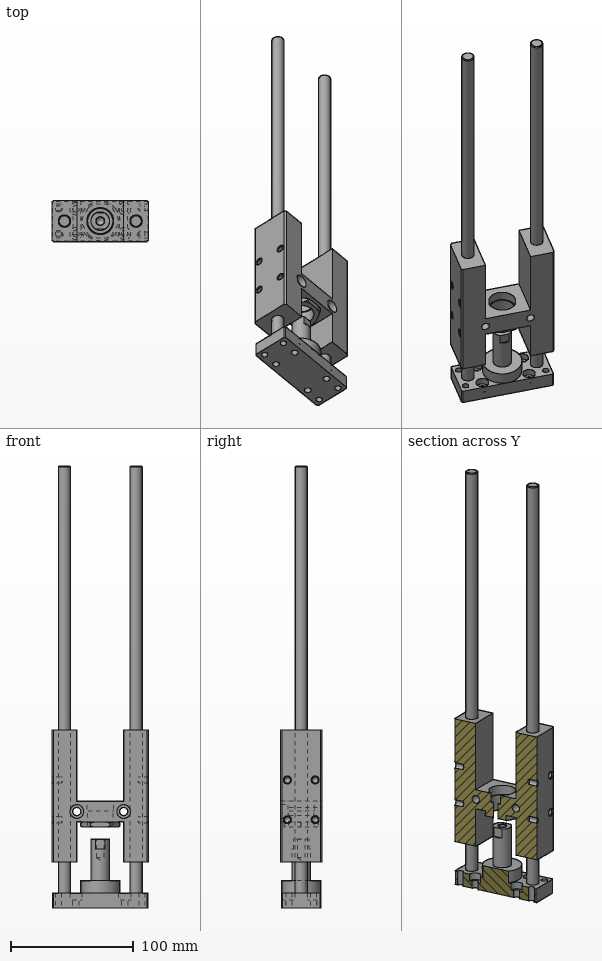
import cadquery as cq
import math

TOTAL_HEIGHT = 360.0
ROD_DIAMETER = 10.0
ROD_OFFSET = 29.0
CONE_ANGLE = 118

HOUSING_LENGTH = 79.0
HOUSING_DEPTH = 34.0
HOUSING_BOTTOM = 37.5
HOUSING_HEIGHT = 107.5
LEG_GAP = 38.0
EDGE_CHAMFER = 1.5
CROSSBAR_BOTTOM = 70.2
CROSSBAR_HEIGHT = 17.0

UPPER_BORE_DIAMETER = 22.0
UPPER_BORE_DEPTH = 8.0
LOWER_BORE_DIAMETER = 20.5
HEX_CORNER_DIAMETER = 32.0
HEX_HEIGHT = 4.5
HEX_BEVEL_WIDTH = 1.5
HEX_BEVEL_HEIGHT = 1.0

MOUNT_HOLE_DIAMETER = 6.5
MOUNT_BORE_DIAMETER = 11.0
MOUNT_BORE_DEPTH = 6.0

SIDE_HOLE_DIAMETER = 5.0
SIDE_HOLE_MOUTH = 6.5
SIDE_HOLE_DEPTH = 8.0
SIDE_HOLE_PITCH_Y = 22.5
SIDE_HOLE_PITCH_Z = 32.5
SIDE_HOLE_CENTER_Z = 88.2

PLATE_LENGTH = 77.8
PLATE_DEPTH = 32.0
PLATE_HEIGHT = 12.2
PLATE_CHAMFER = 0.9
ROD_CHAMFER = 0.7

FLANGE_DIAMETER = 32.0
FLANGE_HEIGHT = 10.0
POST_DIAMETER = 15.0
POST_TOP = 56.0
FLAT_HEIGHT = 8.0
FLATS_WIDTH = 13.0

POST_HOLE_DIAMETER = 6.5
POST_HOLE_MOUTH = 7.2
POST_HOLE_DEPTH = 15.0

HOLE_ROW_PITCH = 20.0
CORNER_HOLE_DIAMETER = 5.0
CORNER_HOLE_PITCH = 68.0
SCREW_HOLE_DIAMETER = 5.5
SCREW_BORE_DIAMETER = 10.0
SCREW_BORE_DEPTH = 5.8
SCREW_HOLE_PITCH = 39.5


def drilled_hole(diameter, mouth, depth):
    """Blind hole cutter: mouth at the origin, drilled down -Z, with a conical end."""
    radius = diameter / 2
    mouth_depth = (mouth - diameter) / 2
    cone_height = radius / math.tan(math.radians(CONE_ANGLE / 2))
    return (
        cq.Workplane("XZ")
        .moveTo(0, 0)
        .lineTo(mouth / 2, 0)
        .lineTo(radius, -mouth_depth)
        .lineTo(radius, -depth)
        .lineTo(0, -depth - cone_height)
        .close()
        .revolve(360, (0, 0, 0), (0, 1, 0))
    )


def hexagonal_boss():
    """Hexagon under the crossbar, its corners bevelled at both ends."""
    top = CROSSBAR_BOTTOM
    bottom = top - HEX_HEIGHT
    radius = HEX_CORNER_DIAMETER / 2
    inner = radius - HEX_BEVEL_WIDTH
    hexagon = (
        cq.Workplane("XY", origin=(0, 0, bottom))
        .polygon(6, HEX_CORNER_DIAMETER)
        .extrude(HEX_HEIGHT)
    )
    bevel_limit = (
        cq.Workplane("XZ")
        .moveTo(0, bottom)
        .lineTo(inner, bottom)
        .lineTo(radius, bottom + HEX_BEVEL_HEIGHT)
        .lineTo(radius, top - HEX_BEVEL_HEIGHT)
        .lineTo(inner, top)
        .lineTo(0, top)
        .close()
        .revolve(360, (0, 0, 0), (0, 1, 0))
    )
    return hexagon.intersect(bevel_limit)


def make_housing():
    bar_top = CROSSBAR_BOTTOM + CROSSBAR_HEIGHT
    bar_middle = CROSSBAR_BOTTOM + CROSSBAR_HEIGHT / 2
    housing_top = HOUSING_BOTTOM + HOUSING_HEIGHT

    body = (
        cq.Workplane("XY", origin=(0, 0, HOUSING_BOTTOM))
        .rect(HOUSING_LENGTH, HOUSING_DEPTH)
        .extrude(HOUSING_HEIGHT)
        .edges("|Z")
        .chamfer(EDGE_CHAMFER)
    )
    for low, high in [(HOUSING_BOTTOM, CROSSBAR_BOTTOM), (bar_top, housing_top)]:
        opening = cq.Workplane("XY", origin=(0, 0, low)).rect(LEG_GAP, HOUSING_DEPTH).extrude(high - low)
        body = body.cut(opening)
    body = body.union(hexagonal_boss())

    lower_bore = cq.Workplane("XY").circle(LOWER_BORE_DIAMETER / 2).extrude(bar_top)
    upper_bore = (
        cq.Workplane("XY", origin=(0, 0, bar_top - UPPER_BORE_DEPTH))
        .circle(UPPER_BORE_DIAMETER / 2)
        .extrude(UPPER_BORE_DEPTH)
    )
    guides = (
        cq.Workplane("XY")
        .pushPoints([(-ROD_OFFSET, 0), (ROD_OFFSET, 0)])
        .circle(ROD_DIAMETER / 2)
        .extrude(TOTAL_HEIGHT)
    )
    body = body.cut(lower_bore).cut(upper_bore).cut(guides)

    for x in (-LEG_GAP / 2, LEG_GAP / 2):
        front = cq.Workplane("XZ", origin=(x, -HOUSING_DEPTH / 2, bar_middle))
        body = body.cut(front.circle(MOUNT_HOLE_DIAMETER / 2).extrude(-HOUSING_DEPTH))
        body = body.cut(front.circle(MOUNT_BORE_DIAMETER / 2).extrude(-MOUNT_BORE_DEPTH))

    cutter = drilled_hole(SIDE_HOLE_DIAMETER, SIDE_HOLE_MOUTH, SIDE_HOLE_DEPTH)
    for side in (-1, 1):
        end_cutter = cutter.rotate((0, 0, 0), (0, 1, 0), side * 90)
        for y in (-SIDE_HOLE_PITCH_Y / 2, SIDE_HOLE_PITCH_Y / 2):
            for dz in (-SIDE_HOLE_PITCH_Z / 2, SIDE_HOLE_PITCH_Z / 2):
                place = (side * HOUSING_LENGTH / 2, y, SIDE_HOLE_CENTER_Z + dz)
                body = body.cut(end_cutter.translate(place))
    return body


def make_post():
    """Flange and round post with two flats and a drilled hole at its tip."""
    base = cq.Workplane("XY", origin=(0, 0, PLATE_HEIGHT))
    flange = base.circle(FLANGE_DIAMETER / 2).extrude(FLANGE_HEIGHT)
    post = base.circle(POST_DIAMETER / 2).extrude(POST_TOP - PLATE_HEIGHT)
    for side in (-1, 1):
        cut_y = side * (FLATS_WIDTH + POST_DIAMETER) / 2
        flat = cq.Workplane("XY").box(POST_DIAMETER, POST_DIAMETER, 2 * FLAT_HEIGHT)
        post = post.cut(flat.translate((0, cut_y, POST_TOP)))
    hole = drilled_hole(POST_HOLE_DIAMETER, POST_HOLE_MOUTH, POST_HOLE_DEPTH)
    return flange.union(post).cut(hole.translate((0, 0, POST_TOP)))


def plate_holes(pitch, diameter, depth):
    """Four hole cutters, sunk from the top of the plate at the corners of a rectangle."""
    return (
        cq.Workplane("XY", origin=(0, 0, PLATE_HEIGHT))
        .rect(pitch, HOLE_ROW_PITCH, forConstruction=True)
        .vertices()
        .circle(diameter / 2)
        .extrude(-depth)
    )


def make_slide():
    plate = (
        cq.Workplane("XY")
        .rect(PLATE_LENGTH, PLATE_DEPTH)
        .extrude(PLATE_HEIGHT)
        .edges("|Z")
        .chamfer(PLATE_CHAMFER)
    )
    plate = plate.cut(plate_holes(CORNER_HOLE_PITCH, CORNER_HOLE_DIAMETER, PLATE_HEIGHT))
    plate = plate.cut(plate_holes(SCREW_HOLE_PITCH, SCREW_HOLE_DIAMETER, PLATE_HEIGHT))
    plate = plate.cut(plate_holes(SCREW_HOLE_PITCH, SCREW_BORE_DIAMETER, SCREW_BORE_DEPTH))
    slide = plate.union(make_post())

    rod = (
        cq.Workplane("XY", origin=(0, 0, PLATE_HEIGHT))
        .circle(ROD_DIAMETER / 2)
        .extrude(TOTAL_HEIGHT - PLATE_HEIGHT)
        .faces(">Z")
        .chamfer(ROD_CHAMFER)
    )
    for x in (-ROD_OFFSET, ROD_OFFSET):
        slide = slide.union(rod.translate((x, 0, 0)))
    return slide


housing = make_housing()
slide = make_slide()

result = cq.Compound.makeCompound([housing.val(), slide.val()])